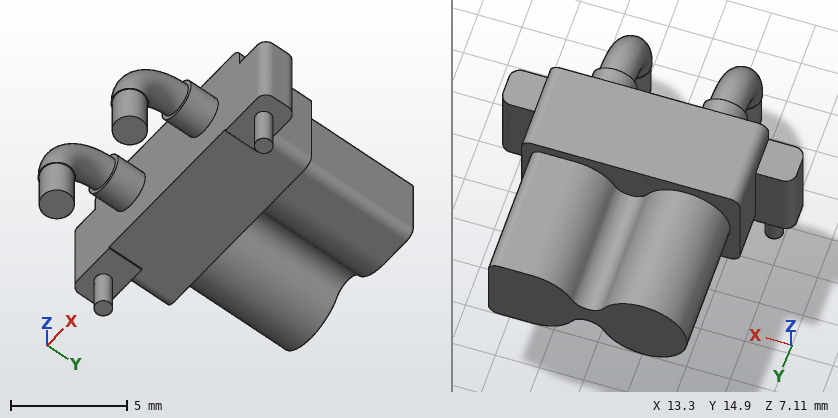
import cadquery as cq
import math


body_width = 9.9
body_depth = 4.0
body_height = 5.0
corner_radius = 0.49

wing_span = 13.3
wing_depth = 1.8
wing_height = 4.0
wing_inner_half = 3.98
foot_drop = 0.09
wing_bottom = -body_height / 2 - foot_drop

pole_spacing = 5.0
pole_x = pole_spacing / 2
socket_length = 6.0
socket_radius = 2.0
valley_radius = 0.82

collar_radius = 1.0
collar_length = 1.5
bend_radius = 2.6
wire_radius = 0.8
leg_radius = 0.76
leg_length = 2.01
leg_bottom = -bend_radius - leg_length

peg_radius = 0.4
peg_x = 5.5


def make_body():
    block = cq.Workplane("XY").box(body_width, body_depth, body_height)
    return block.translate((0, body_depth / 2, 0)).edges("|Y").fillet(corner_radius)


def make_wing(side):
    """Wing on the -X (side = -1) or +X (side = 1) end, rounded outside."""
    width = wing_span / 2 - wing_inner_half
    outer_edges = "|Z and >X" if side > 0 else "|Z and <X"
    block = cq.Workplane("XY").box(width, wing_depth, wing_height)
    block = block.edges(outer_edges).fillet(corner_radius)
    return block.translate((
        side * (wing_inner_half + width / 2),
        wing_depth / 2,
        wing_bottom + wing_height / 2,
    ))


def make_socket():
    """Round pole and D-shaped pole, blended by a tangent valley on each side."""
    tangent_angle = math.asin(pole_x / (socket_radius + valley_radius))
    tangent_x = valley_radius * math.sin(tangent_angle)
    tangent_z = socket_radius * math.cos(tangent_angle)
    valley_z = (socket_radius + valley_radius) * math.cos(tangent_angle) - valley_radius

    arc_mid_x = pole_x - socket_radius * math.sin(tangent_angle / 2)
    arc_mid_z = socket_radius * math.cos(tangent_angle / 2)
    right_x = pole_x + socket_radius

    profile = (
        cq.Workplane("XZ")
        .moveTo(pole_x, socket_radius)
        .threePointArc((arc_mid_x, arc_mid_z), (tangent_x, tangent_z))
        .threePointArc((0, valley_z), (-tangent_x, tangent_z))
        .threePointArc((-pole_x - socket_radius, 0), (-tangent_x, -tangent_z))
        .threePointArc((0, -valley_z), (tangent_x, -tangent_z))
        .threePointArc((arc_mid_x, -arc_mid_z), (pole_x, -socket_radius))
        .lineTo(right_x, -socket_radius)
        .lineTo(right_x, socket_radius)
        .close()
    )
    socket = profile.extrude(-socket_length)
    socket = socket.edges("|Y and >X").fillet(corner_radius)
    return socket.translate((0, body_depth, 0))


def make_contact(x):
    """Collar, quarter-turn wire and downward solder leg."""
    collar = cq.Workplane("XZ").center(x, 0).circle(collar_radius).extrude(collar_length)
    bend = (
        cq.Workplane("XZ", origin=(x, -collar_length, 0))
        .circle(wire_radius)
        .revolve(90, (-0.15, -bend_radius), (0.15, -bend_radius))
    )
    leg = (
        cq.Workplane("XY", origin=(x, -collar_length - bend_radius, leg_bottom))
        .circle(leg_radius)
        .extrude(leg_length)
    )
    return collar.union(bend).union(leg)


def make_peg(x):
    peg = cq.Workplane("XY", origin=(x, wing_depth / 2, leg_bottom))
    return peg.circle(peg_radius).extrude(wing_bottom - leg_bottom)


result = make_body().union(make_socket())
for side in (-1, 1):
    result = result.union(make_wing(side))
    result = result.union(make_peg(side * peg_x))
    result = result.union(make_contact(side * pole_x))